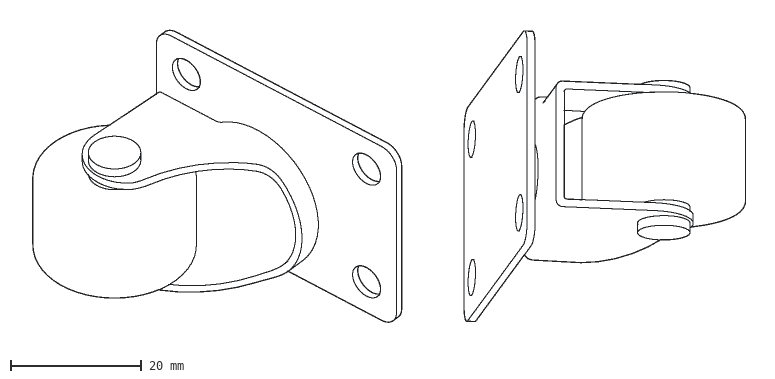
import cadquery as cq
import math


plate_length = 48.0
plate_height = 34.0
sheet_thickness = 1.25
plate_corner_radius = 3.0
bolt_hole_diameter = 5.55
bolt_spacing_x = 36.0
bolt_spacing_z = 22.0
boss_base_radius = 16.0
boss_tip_radius = 5.75
boss_tip_depth = 3.55
stud_radius = 5.45

overall_length = 50.15
overall_depth = 35.95
wheel_radius = 25.05 / 2
wheel_width = 14.95
wheel_edge_radius = 1.0
axle_radius = 4.0
axle_length = 23.05
axle_x = plate_length / 2 - overall_length + wheel_radius
axle_y = wheel_radius - overall_depth

fork_top_depth = 5.5
fork_back_radius = 25.05 / 2
cheek_half_width = 20.0 / 2
neck_radius = 3.0
fork_outer_edge_radius = 1.0
fork_inner_edge_radius = 0.4
fork_front_x = -19.2
rim_depth = 10.05
rim_corner_x = 6.25
rim_blend_radius = 5.0
cheek_end_radius = 7.0
cheek_end_x = -13.0
cheek_end_depth = 21.0
trim_margin = 2.5


def make_plate():
    plate = (
        cq.Workplane("XZ")
        .rect(plate_length, plate_height)
        .extrude(sheet_thickness)
        .edges("|Y")
        .fillet(plate_corner_radius)
    )
    bolt_holes = (
        cq.Workplane("XZ")
        .rect(bolt_spacing_x, bolt_spacing_z, forConstruction=True)
        .vertices()
        .circle(bolt_hole_diameter / 2)
        .extrude(sheet_thickness)
    )
    swivel_boss = (
        cq.Workplane("XY")
        .moveTo(0, -sheet_thickness)
        .lineTo(boss_base_radius, -sheet_thickness)
        .lineTo(boss_tip_radius, -boss_tip_depth)
        .lineTo(stud_radius, -boss_tip_depth)
        .lineTo(stud_radius, -fork_top_depth)
        .lineTo(0, -fork_top_depth)
        .close()
        .revolve(360, (0, 0), (0, 1))
    )
    return plate.cut(bolt_holes).union(swivel_boss)


def axle_cylinder(radius, length):
    """Cylinder on the axle line, centred between the cheeks."""
    return (
        cq.Workplane("XY", origin=(axle_x, axle_y, -length / 2))
        .circle(radius)
        .extrude(length)
    )


def make_wheel():
    tread = axle_cylinder(wheel_radius, wheel_width).faces("<Z or >Z").edges().fillet(wheel_edge_radius)
    return tread.cut(axle_cylinder(axle_radius, wheel_width))


def make_axle():
    return axle_cylinder(axle_radius, axle_length)


def keyhole_prism(inset, top_depth, front_x):
    """Round back blended into parallel cheeks, moved inward by inset and as deep as the caster."""
    back_radius = fork_back_radius - inset
    half_width = cheek_half_width - inset
    blend_radius = neck_radius + inset
    blend_center_z = half_width + blend_radius
    centre_distance = back_radius + blend_radius
    blend_start_x = -math.sqrt(centre_distance**2 - blend_center_z**2)
    back_start_x = blend_start_x * back_radius / centre_distance
    back_start_z = blend_center_z * back_radius / centre_distance
    half_angle = math.acos(blend_center_z / centre_distance) / 2
    blend_mid_x = blend_start_x + blend_radius * math.sin(half_angle)
    blend_mid_z = blend_center_z - blend_radius * math.cos(half_angle)
    return (
        cq.Workplane("XZ", origin=(0, -top_depth, 0))
        .moveTo(front_x, half_width)
        .lineTo(blend_start_x, half_width)
        .threePointArc((blend_mid_x, blend_mid_z), (back_start_x, back_start_z))
        .threePointArc((back_radius, 0), (back_start_x, -back_start_z))
        .threePointArc((blend_mid_x, -blend_mid_z), (blend_start_x, -half_width))
        .lineTo(front_x, -half_width)
        .close()
        .extrude(overall_depth - top_depth)
    )


def cheek_tangent_point(x, y, side):
    """Point where a line from (x, y) touches the cheek end circle; side is +1 or -1."""
    dx = x - cheek_end_x
    dy = y + cheek_end_depth
    angle = math.atan2(dy, dx) + side * math.acos(cheek_end_radius / math.hypot(dx, dy))
    return (
        cheek_end_x + cheek_end_radius * math.cos(angle),
        -cheek_end_depth + cheek_end_radius * math.sin(angle),
    )


def make_side_profile():
    """Silhouette of the fork seen along the axle, used to trim the bent sheet."""
    front_tangent = cheek_tangent_point(fork_front_x, -fork_top_depth, 1)
    rear_tangent = cheek_tangent_point(rim_corner_x, -rim_depth, -1)
    back_x = fork_back_radius + trim_margin
    profile = (
        cq.Workplane("XY")
        .moveTo(fork_front_x, -fork_top_depth)
        .lineTo(*front_tangent)
        .threePointArc((cheek_end_x, -cheek_end_depth - cheek_end_radius), rear_tangent)
        .lineTo(rim_corner_x, -rim_depth)
        .lineTo(back_x, -rim_depth)
        .lineTo(back_x, -fork_top_depth)
        .close()
        .extrude(fork_back_radius + trim_margin, both=True)
    )
    rim_corner = cq.selectors.NearestToPointSelector((rim_corner_x, -rim_depth, 0))
    return profile.edges("|Z").edges(rim_corner).fillet(rim_blend_radius)


def make_fork():
    outside_front_x = cheek_end_x - cheek_end_radius - trim_margin
    cavity_front_x = outside_front_x - trim_margin
    outside = (
        keyhole_prism(0, fork_top_depth, outside_front_x)
        .faces(">Y")
        .edges("not(<X)")
        .fillet(fork_outer_edge_radius)
    )
    cavity = (
        keyhole_prism(sheet_thickness, fork_top_depth + sheet_thickness, cavity_front_x)
        .faces(">Y")
        .edges("not(<X)")
        .fillet(fork_inner_edge_radius)
    )
    fork = outside.cut(cavity).intersect(make_side_profile())
    return fork.cut(axle_cylinder(axle_radius, axle_length))


plate = make_plate()
fork = make_fork()
wheel = make_wheel()
axle = make_axle()

result = cq.Compound.makeCompound([plate.val(), fork.val(), wheel.val(), axle.val()])